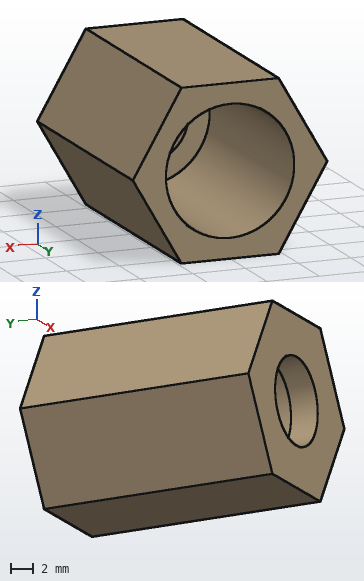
import cadquery as cq
import math

across_flats = 16.0
entry_diameter = 8.2
bore_diameter = 12.2
entry_depth = 2.65
bore_depth = 20.0

length = entry_depth + bore_depth
across_corners = across_flats / math.cos(math.pi / 6)
front_y = -length / 2


def hex_body():
    """Hexagonal prism centred on the origin, flats facing +Z and -Z."""
    profile = cq.Workplane("XZ").polygon(6, across_corners)
    return profile.extrude(length / 2, both=True)


def cylinder_along_y(diameter, start_y, depth):
    """Cylinder on the Y axis, running from start_y toward +Y."""
    section = cq.Workplane("XZ", origin=(0, start_y, 0)).circle(diameter / 2)
    return section.extrude(-depth)


entry_hole = cylinder_along_y(entry_diameter, front_y, entry_depth)
wide_bore = cylinder_along_y(bore_diameter, front_y + entry_depth, bore_depth)

result = hex_body().cut(entry_hole).cut(wide_bore)